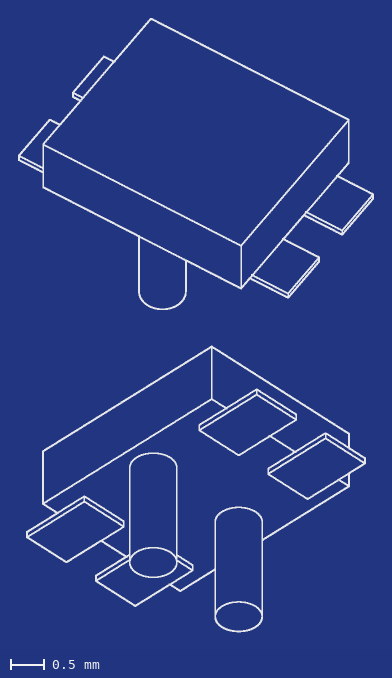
import cadquery as cq

housing_length = 3.52
housing_width = 2.9
housing_height = 1.0

overall_length = 4.79
lead_length = 1.198
lead_width = 0.835
lead_thickness = 0.1
lead_pitch = 1.45

post_diameter = 0.7
post_length = 2.8 - housing_height
post_pitch = 1.8


def make_housing():
    return cq.Workplane("XY").box(
        housing_length, housing_width, housing_height, centered=(True, True, False)
    )


def make_lead(x, y):
    """Flat lead centred on (x, y), its top face against the housing underside."""
    return cq.Workplane("XY").center(x, y).rect(lead_length, lead_width).extrude(-lead_thickness)


def make_post(y):
    """Round post centred on (0, y), hanging from the housing underside."""
    return cq.Workplane("XY").center(0, y).circle(post_diameter / 2).extrude(-post_length)


lead_x = (overall_length - lead_length) / 2

housing = make_housing()
leads = []
posts = []
for side_y in (-1, 1):
    posts.append(make_post(side_y * post_pitch / 2))
    for side_x in (-1, 1):
        leads.append(make_lead(side_x * lead_x, side_y * lead_pitch / 2))

result = cq.Compound.makeCompound(
    [housing.val()]
    + [lead.val() for lead in leads]
    + [post.val() for post in posts]
)